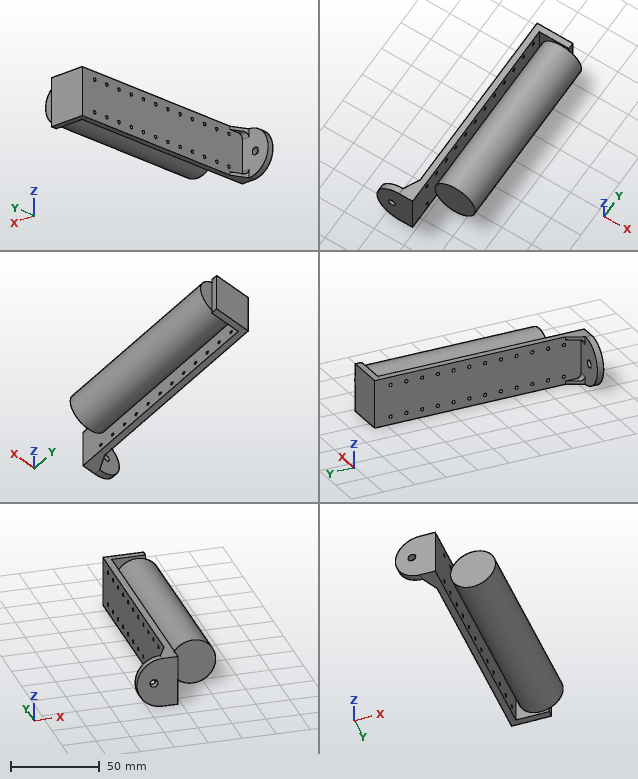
import cadquery as cq

length = 135.0
height = 30.0
thickness = 4.0

tab_radius = height / 2
tab_hole_diameter = 4.6
tab_hole_x = 10.0

wall_left = 20.0
wall_right = wall_left + thickness
rear_plate_width = 24.0
rear_plate_y = length - thickness

gusset_end_y = 14.0
gusset_thickness = 2.0
gusset_fillet = 3.0

hole_diameter = 1.9
hole_count = 12
hole_pitch = 10.0
first_hole_y = 15.0
hole_row_spacing = 20.0

cylinder_diameter = 27.0
cylinder_length = 110.0
cylinder_gap = 1.5


def box(x_min, x_max, y_min, y_max, z_size=height):
    """Block between the given X and Y limits, centred on Z = 0."""
    return cq.Workplane("XY").box(
        x_max - x_min, y_max - y_min, z_size, centered=(False, False, True)
    ).translate((x_min, y_min, 0))


def cylinder_along_y(x, y_start, diameter, depth):
    """Cylinder on the mid-height plane, extending toward +Y."""
    return cq.Workplane("XZ", origin=(x, y_start, 0)).circle(diameter / 2).extrude(-depth)


def make_tab():
    disc = cylinder_along_y(tab_radius, 0, height, thickness)
    round_end = disc.intersect(box(0, tab_radius, 0, thickness))
    straight = box(tab_radius, wall_right, 0, thickness)
    hole = cylinder_along_y(tab_hole_x, 0, tab_hole_diameter, thickness)
    return round_end.union(straight).cut(hole)


def make_gussets():
    """Wedge hollowed between its outer faces, with filleted corners at the tab."""
    wedge = (
        cq.Workplane("XY", origin=(0, 0, -height / 2))
        .moveTo(tab_radius, thickness)
        .lineTo(wall_left, thickness)
        .lineTo(wall_left, gusset_end_y)
        .close()
        .extrude(height)
    )
    pocket = (
        box(tab_radius, wall_left, thickness, length, height - 2 * gusset_thickness)
        .edges("|X and <Y")
        .fillet(gusset_fillet)
    )
    return wedge.cut(pocket)


def make_wall_holes():
    positions = [
        (first_hole_y + i * hole_pitch, side * hole_row_spacing / 2)
        for i in range(hole_count)
        for side in (-1, 1)
    ]
    return (
        cq.Workplane("YZ", origin=(wall_left, 0, 0))
        .pushPoints(positions)
        .circle(hole_diameter / 2)
        .extrude(thickness)
    )


wall = box(wall_left, wall_right, 0, length).cut(make_wall_holes())
rear_plate = box(wall_left, wall_left + rear_plate_width, rear_plate_y, length)
cylinder = cylinder_along_y(
    wall_right + cylinder_gap + cylinder_diameter / 2,
    rear_plate_y - cylinder_length,
    cylinder_diameter,
    cylinder_length,
)

result = wall.union(rear_plate).union(make_tab()).union(make_gussets()).union(cylinder)